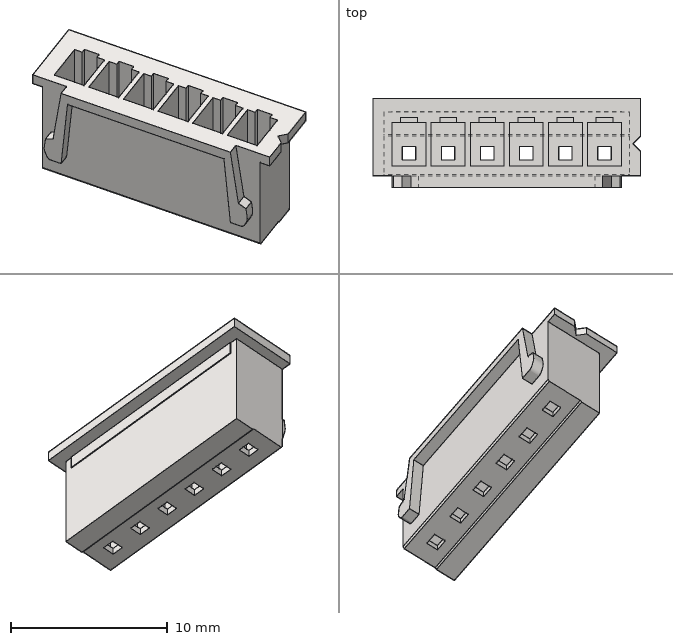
import cadquery as cq


height = 7.85
flange_width = 17.1
flange_depth = 4.95
flange_thickness = 0.75
body_width = 15.7
body_depth = 4.07

step_height = 0.1
step_rear_length = 1.42
edge_chamfer_depth = 0.1
edge_chamfer_height = 0.15

cavity_count = 6
cavity_pitch = 2.5
cavity_width = 2.15
front_wall = 0.62
cavity_depth = 2.79
cavity_floor = front_wall
key_width = 1.06
key_depth = 0.3
key_shoulder = 0.62
pin_hole_size = 0.84
pin_hole_front = 1.03

notch_depth = 0.48
notch_center_y = 2.05

latch_depth = 0.75
latch_bottom = 1.88
arm_top_outer_x = 6.1
arm_top_inner_x = 5.65
arm_bottom_inner_x = 6.1
neck_x = 6.69
neck_z = 3.75
barb_top_x = 7.23
barb_top_z = 3.5
nose_start_x = 7.32
nose_start_z = 2.8
nose_flat_top_x = 7.22
nose_flat_top_z = 2.29
nose_flat_bottom_x = 7.13
nose_flat_bottom_z = 2.09
nose_end_x = 6.87

pad_thickness = 0.05
pad_height = 0.92

flange_bottom = height - flange_thickness
cavity_span = (cavity_count - 1) * cavity_pitch + cavity_width


def block(width, depth, z_bottom, z_top, center_x=0.0, front_y=0.0):
    """Box given by its width about center_x, its front face and its Z range."""
    return (
        cq.Workplane("XY")
        .box(width, depth, z_top - z_bottom, centered=(True, False, False))
        .translate((center_x, front_y, z_bottom))
    )


def body():
    """Body extruded along X from its side profile with the stepped underside."""
    side_profile = [
        (0, height),
        (0, step_height + edge_chamfer_height),
        (edge_chamfer_depth, step_height),
        (body_depth - step_rear_length - step_height, step_height),
        (body_depth - step_rear_length, 0),
        (body_depth, 0),
        (body_depth, height),
    ]
    return cq.Workplane("YZ").polyline(side_profile).close().extrude(body_width / 2, both=True)


def flange():
    """Flange plate with a V notch in its +X end."""
    plate = block(flange_width, flange_depth, flange_bottom, height)
    end_x = flange_width / 2
    notch = (
        cq.Workplane("XY", origin=(0, 0, flange_bottom))
        .moveTo(end_x, notch_center_y - notch_depth)
        .lineTo(end_x - notch_depth, notch_center_y)
        .lineTo(end_x, notch_center_y + notch_depth)
        .close()
        .extrude(flange_thickness)
    )
    return plate.cut(notch)


def latch_arm():
    """Right half of the latch: half the top rail and one barbed arm."""
    return (
        cq.Workplane("XZ")
        .moveTo(0, height)
        .lineTo(arm_top_outer_x, height)
        .lineTo(neck_x, neck_z)
        .lineTo(barb_top_x, barb_top_z)
        .lineTo(nose_start_x, nose_start_z)
        .tangentArcPoint((nose_flat_top_x, nose_flat_top_z), relative=False)
        .lineTo(nose_flat_bottom_x, nose_flat_bottom_z)
        .tangentArcPoint((nose_end_x, latch_bottom), relative=False)
        .lineTo(arm_bottom_inner_x, latch_bottom)
        .lineTo(arm_top_inner_x, flange_bottom)
        .lineTo(0, flange_bottom)
        .close()
        .extrude(latch_depth)
    )


def contact_cavity(center_x):
    """Open cavity with a key groove at its rear and a pin hole through its floor."""
    chamber = block(cavity_width, cavity_depth, cavity_floor, height, center_x, front_wall)
    key_groove = block(
        key_width, key_depth, cavity_floor + key_shoulder, height, center_x, front_wall + cavity_depth
    )
    pin_hole = block(pin_hole_size, pin_hole_size, 0, cavity_floor, center_x, pin_hole_front)
    return chamber.union(key_groove).union(pin_hole)


def rear_pad():
    """Thin pad across the cavities on the rear face."""
    return block(
        cavity_span, pad_thickness, flange_bottom - pad_height, flange_bottom, front_y=body_depth
    )


right_arm = latch_arm()
left_arm = right_arm.mirror("YZ")
result = body().union(flange()).union(rear_pad()).union(right_arm).union(left_arm)

for index in range(cavity_count):
    cavity_x = (index - (cavity_count - 1) / 2) * cavity_pitch
    result = result.cut(contact_cavity(cavity_x))